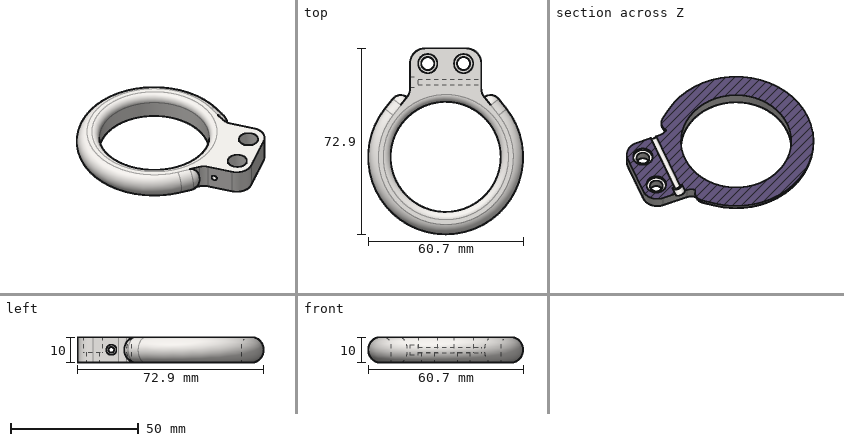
import cadquery as cq
import math

thickness = 10.0
bore_radius = 43.0 / 2
bore_edge_radius = 3.0
rim_root_radius = 26.4
rim_outer_radius = 30.365
rim_width = rim_outer_radius - rim_root_radius
rim_overlap = 1.0

departure_angle = math.radians(141.6)
straight_length = 5.0

tab_half_width = 14.0
tab_end_y = 42.5
tab_corner_radius = 6.0
neck_fillet_radius = 5.0

mount_hole_x = 7.0
mount_hole_y = tab_end_y - tab_corner_radius
mount_hole_diameter = 5.0
mount_counterbore_diameter = 7.5
mount_counterbore_depth = 6.0

cross_hole_y = 29.25
cross_hole_diameter = 2.15
cross_counterbore_diameter = 4.0
cross_counterbore_depth = 3.0

tangent_x = rim_root_radius * math.cos(departure_angle)
tangent_y = rim_root_radius * math.sin(departure_angle)
tangent_dx = math.sin(departure_angle)
tangent_dy = -math.cos(departure_angle)
rim_end_x = tangent_x + straight_length * tangent_dx
rim_end_y = tangent_y + straight_length * tangent_dy
neck_y = tangent_y + (-tab_half_width - tangent_x) * tangent_dy / tangent_dx


def make_core():
    """Flat ring core and tab, joined by tangent shoulders with filleted necks."""
    disc = cq.Workplane("XY").circle(rim_root_radius).extrude(thickness / 2, both=True)
    tab = (
        cq.Workplane("XY")
        .moveTo(tangent_x, tangent_y)
        .lineTo(-tab_half_width, neck_y)
        .lineTo(-tab_half_width, tab_end_y)
        .lineTo(tab_half_width, tab_end_y)
        .lineTo(tab_half_width, neck_y)
        .lineTo(-tangent_x, tangent_y)
        .lineTo(0, 0)
        .close()
        .extrude(thickness / 2, both=True)
    )
    for side in (-1, 1):
        corner = cq.selectors.NearestToPointSelector((side * tab_half_width, tab_end_y, 0))
        tab = tab.edges(corner).fillet(tab_corner_radius)
        neck = cq.selectors.NearestToPointSelector((side * tab_half_width, neck_y, 0))
        tab = tab.edges(neck).fillet(neck_fillet_radius)
    return disc.union(tab)


def rim_section(plane, root, overlap):
    """Rounded rim section in a plane whose local x points outward."""
    return (
        cq.Workplane(plane)
        .moveTo(root - overlap, -thickness / 2)
        .lineTo(root, -thickness / 2)
        .threePointArc((root + rim_width, 0), (root, thickness / 2))
        .lineTo(root - overlap, thickness / 2)
        .close()
    )


def make_rim_arc():
    """Rounded rim swept around the ring, open toward the tab."""
    start = cq.Plane(
        origin=(0, 0, 0),
        xDir=(math.cos(departure_angle), math.sin(departure_angle), 0),
        normal=(math.sin(departure_angle), -math.cos(departure_angle), 0),
    )
    rim_sweep_angle = 180 + 2 * (180 - math.degrees(departure_angle))
    return rim_section(start, rim_root_radius, rim_overlap).revolve(
        rim_sweep_angle, (0, 0, 0), (0, 1, 0)
    )


def make_rim_end():
    """Left end of the rim: straight tangent run closed by a revolved round cap."""
    start = cq.Plane(
        origin=(tangent_x, tangent_y, 0),
        xDir=(math.cos(departure_angle), math.sin(departure_angle), 0),
        normal=(tangent_dx, tangent_dy, 0),
    )
    run = rim_section(start, 0, rim_overlap).extrude(straight_length)
    cap = (
        cq.Workplane("XZ")
        .moveTo(0, -thickness / 2)
        .threePointArc((rim_width, 0), (0, thickness / 2))
        .close()
        .revolve(360, (0, 0, 0), (0, 1, 0))
        .translate((rim_end_x, rim_end_y, 0))
    )
    return run.union(cap)


def make_bore():
    """Tool for the central bore, flared at the top so that the upper bore edge comes out rounded."""
    top = thickness / 2
    mid_offset = bore_edge_radius * (1 - math.sqrt(0.5))
    return (
        cq.Workplane("XZ")
        .moveTo(0, -top)
        .lineTo(bore_radius, -top)
        .lineTo(bore_radius, top - bore_edge_radius)
        .threePointArc((bore_radius + mid_offset, top - mid_offset), (bore_radius + bore_edge_radius, top))
        .lineTo(0, top)
        .close()
        .revolve(360, (0, 0, 0), (0, 1, 0))
    )


def cut_mount_holes(body):
    """Two vertical holes, counterbored from the top face."""
    top_face = cq.Workplane("XY", origin=(0, 0, thickness / 2))
    return (
        body.copyWorkplane(top_face)
        .pushPoints([(-mount_hole_x, mount_hole_y), (mount_hole_x, mount_hole_y)])
        .cboreHole(mount_hole_diameter, mount_counterbore_diameter, mount_counterbore_depth)
    )


def cut_cross_hole(body):
    """Hole along X through the whole tab, counterbored from the -X side."""
    side_face = cq.Workplane(cq.Plane((-tab_half_width, cross_hole_y, 0), (0, 1, 0), (-1, 0, 0)))
    return body.copyWorkplane(side_face).cboreHole(
        cross_hole_diameter, cross_counterbore_diameter, cross_counterbore_depth
    )


left_rim_end = make_rim_end()
result = make_core().union(make_rim_arc()).union(left_rim_end).union(left_rim_end.mirror("YZ"))
result = result.cut(make_bore())
result = cut_mount_holes(result)
result = cut_cross_hole(result)